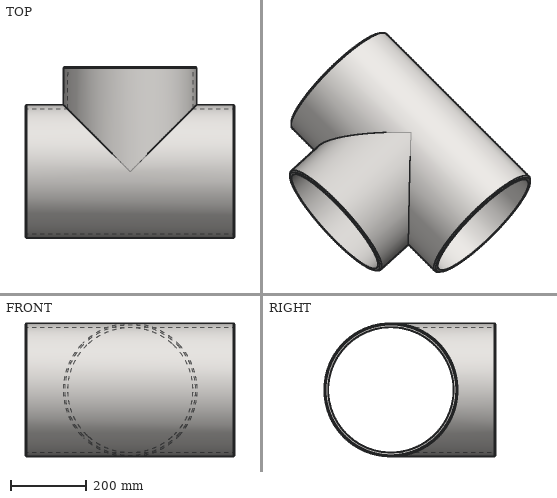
import cadquery as cq

run_length = 559.0
outer_diameter = 356.0
wall = 11.0
bevel_length = 4.0
bevel_depth = 4.0

half_run = run_length / 2
branch_length = half_run
outer_radius = outer_diameter / 2
bore_radius = outer_radius - wall
bevel_radius = outer_radius - bevel_depth


def run_outside():
    """Solid run along X, bevelled at both ends."""
    profile = [
        (-half_run, 0),
        (-half_run, bevel_radius),
        (-half_run + bevel_length, outer_radius),
        (half_run - bevel_length, outer_radius),
        (half_run, bevel_radius),
        (half_run, 0),
    ]
    return cq.Workplane("XY").polyline(profile).close().revolve(360, (0, 0), (1, 0))


def branch_outside():
    """Solid branch from the run axis towards +Y, bevelled at its free end."""
    profile = [
        (0, 0),
        (outer_radius, 0),
        (outer_radius, branch_length - bevel_length),
        (bevel_radius, branch_length),
        (0, branch_length),
    ]
    return cq.Workplane("XY").polyline(profile).close().revolve(360, (0, 0), (0, 1))


run_bore = cq.Workplane("YZ").circle(bore_radius).extrude(half_run, both=True)
branch_bore = cq.Workplane("XZ").circle(bore_radius).extrude(-branch_length)

result = run_outside().union(branch_outside()).cut(run_bore).cut(branch_bore)